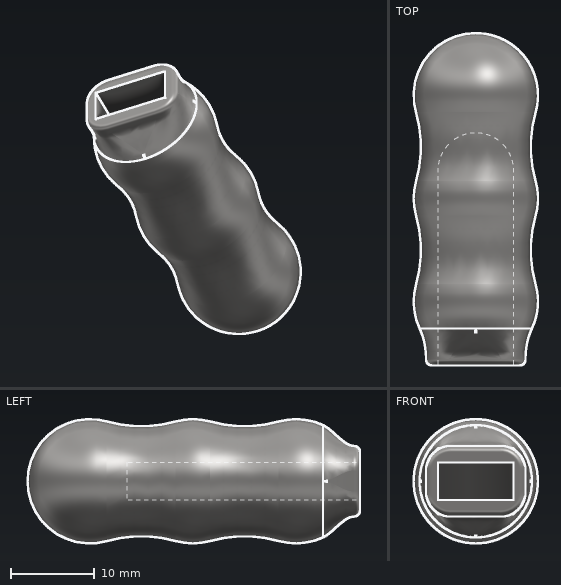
import cadquery as cq
import math

length = 40.0
bulge_diameter = 15.0
bulge_radius = bulge_diameter / 2
bulge_pitch = 12.4
bulge_count = 3
waist_arc_radius = 2 * bulge_radius

neck_start_offset = 3.25
mouth_width = 12.0
mouth_height = 8.5
mouth_corner_radius = 3.0
mouth_rounding = 0.75
rim_margin = 0.01
neck_steps = 6
smallest_flat = 0.01

slot_width = 9.1
slot_height = 4.5
slot_depth = 28.0

mouth_y = -length / 2
rim_y = mouth_y + mouth_rounding
top_y = length / 2
bulge_centres = [top_y - bulge_radius - i * bulge_pitch for i in range(bulge_count)]
neck_start_y = bulge_centres[-1] - neck_start_offset
neck_start_radius = math.sqrt(bulge_radius**2 - neck_start_offset**2)
neck_length = neck_start_y - rim_y


def make_body():
    """Revolve spherical bulges joined by tangent concave waists."""
    half_pitch = bulge_pitch / 2
    centre_distance = bulge_radius + waist_arc_radius
    waist_radius = math.sqrt(centre_distance**2 - half_pitch**2) - waist_arc_radius
    tangent_offset = half_pitch * bulge_radius / centre_distance
    tangent_radius = math.sqrt(bulge_radius**2 - tangent_offset**2)

    profile = cq.Workplane("XY").moveTo(0, top_y)
    diagonal = bulge_radius * math.sqrt(0.5)
    profile = profile.threePointArc(
        (diagonal, bulge_centres[0] + diagonal), (bulge_radius, bulge_centres[0])
    )
    for centre, next_centre in zip(bulge_centres, bulge_centres[1:]):
        mid_radius = math.sqrt(bulge_radius**2 - (tangent_offset / 2) ** 2)
        profile = profile.threePointArc(
            (mid_radius, centre - tangent_offset / 2), (tangent_radius, centre - tangent_offset)
        )
        profile = profile.threePointArc(
            (waist_radius, centre - half_pitch), (tangent_radius, next_centre + tangent_offset)
        )
        profile = profile.threePointArc(
            (mid_radius, next_centre + tangent_offset / 2), (bulge_radius, next_centre)
        )
    mid_offset = neck_start_offset / 2
    profile = profile.threePointArc(
        (math.sqrt(bulge_radius**2 - mid_offset**2), bulge_centres[-1] - mid_offset),
        (neck_start_radius, neck_start_y),
    )
    profile = profile.lineTo(0, neck_start_y).close()
    return profile.revolve(360, (0, 0, 0), (0, 1, 0))


def rounded_section(y, half_flat_x, half_flat_z, radius):
    """Return a rounded rectangle across Y, given its half flats and corner radius."""
    return (
        cq.Sketch()
        .rect(2 * (half_flat_x + radius), 2 * (half_flat_z + radius))
        .vertices()
        .fillet(radius)
        .moved(cq.Location(cq.Plane.XZ((0, y, 0))))
    )


def make_neck():
    """Loft from the bulge circle to the mouth, tangent to both."""
    mouth_flat_x = mouth_width / 2 - mouth_corner_radius
    mouth_flat_z = mouth_height / 2 - mouth_corner_radius
    start_slope = -neck_start_offset / neck_start_radius
    sections = []
    for step in range(neck_steps + 1):
        t = step / neck_steps
        blend = t**2 * (3 - 2 * t)
        radius = neck_start_radius + (mouth_corner_radius - neck_start_radius) * blend
        radius += start_slope * neck_length * t * (1 - t) ** 2
        half_flat_x = smallest_flat + (mouth_flat_x - smallest_flat) * blend
        half_flat_z = smallest_flat + (mouth_flat_z - smallest_flat) * blend
        if step == 0:
            radius -= smallest_flat
        sections.append(
            rounded_section(neck_start_y - neck_length * t, half_flat_x, half_flat_z, radius)
        )
    return cq.Workplane("XY").placeSketch(*sections).loft()


def make_rim():
    """Make the short straight mouth rim with its front edge rounded."""
    rim = cq.Workplane("XZ", origin=(0, rim_y, 0)).rect(mouth_width, mouth_height)
    rim = rim.extrude(mouth_rounding).edges("|Y").fillet(mouth_corner_radius)
    return rim.faces("<Y").edges().fillet(mouth_rounding - rim_margin)


def make_slot():
    """Make the slot cutter, ending in a half cylinder whose axis is Z."""
    half_width = slot_width / 2
    bottom_y = mouth_y + slot_depth
    return (
        cq.Workplane("XY")
        .moveTo(-half_width, mouth_y)
        .lineTo(half_width, mouth_y)
        .lineTo(half_width, bottom_y - half_width)
        .threePointArc((0, bottom_y), (-half_width, bottom_y - half_width))
        .close()
        .extrude(slot_height / 2, both=True)
    )


result = make_body().union(make_neck()).union(make_rim()).cut(make_slot())